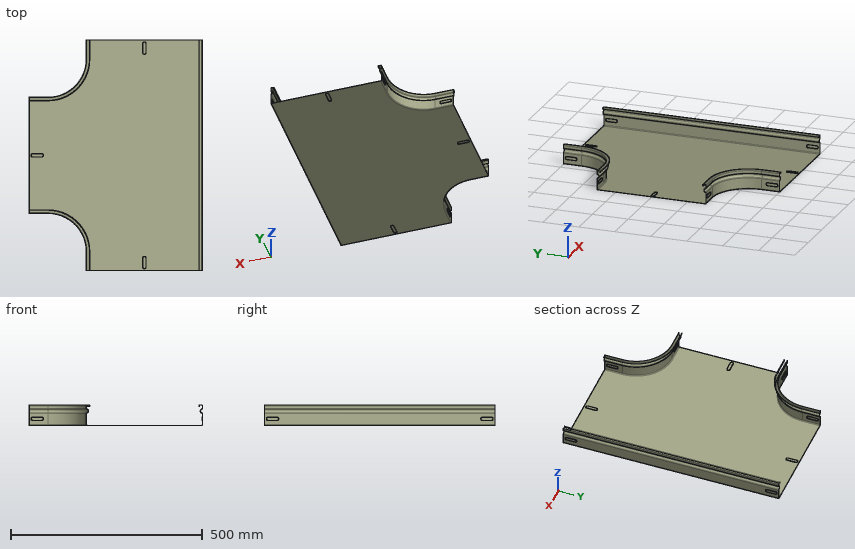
import cadquery as cq
import math

sheet = 0.6
length_y = 601.0
arm_width = 302.8
straight_end = 50.0
wall_height = 53.5

bend_radius = 2.0
bead_height = 37.5
bead_radius = 5.3
bead_blend = 1.5
rim_width = 9.4
rim_radius = 2.2
roll_radius = 2.2
lip_length = 1.0

slot_length = 32.5
slot_width = 9.0
slot_end_gap = 5.0
slot_height = 17.5
press_depth = 0.6

arm_reach = (length_y - arm_width) / 2
length_x = arm_reach + arm_width
half_y = length_y / 2
half_arm = arm_width / 2
corner_radius = arm_reach - straight_end
arm_axis_x = arm_reach + half_arm
slot_centre = slot_end_gap + slot_length / 2


def wall_section():
    """Wall section: local x runs inward from the outer face, local y runs up."""
    skin = sheet / 2
    bend = bend_radius - skin
    corner = rim_radius - skin
    roll = roll_radius - skin
    top = wall_height - skin
    inner = rim_width - skin
    roll_x = rim_width - roll_radius
    diagonal = math.sqrt(0.5)

    blend_rise = math.sqrt((bead_radius + bead_blend) ** 2 - bead_blend ** 2)
    bead_share = bead_radius / (bead_radius + bead_blend)
    touch_x = skin + bead_blend * bead_share
    touch_rise = blend_rise * bead_share

    path = (
        cq.Workplane("XY")
        .moveTo(bend_radius, skin)
        .radiusArc((skin, bend_radius), bend)
        .lineTo(skin, bead_height - blend_rise)
        .radiusArc((touch_x, bead_height - touch_rise), bead_blend)
        .threePointArc((skin + bead_radius, bead_height), (touch_x, bead_height + touch_rise))
        .radiusArc((skin, bead_height + blend_rise), bead_blend)
        .lineTo(skin, wall_height - rim_radius)
        .radiusArc((rim_radius, top), corner)
        .lineTo(roll_x, top)
        .threePointArc(
            (inner, top - roll),
            (roll_x + roll * diagonal, top - roll - roll * diagonal),
        )
        .line(-lip_length * diagonal, -lip_length * diagonal)
    )
    return path.wire().offset2D(skin).val()


def placed_section(origin, inward):
    """The wall section as a workplane, at origin with its local x along inward."""
    normal = cq.Vector(*inward).cross(cq.Vector(0, 0, 1))
    plane = cq.Plane(origin=origin, xDir=inward, normal=normal)
    return cq.Workplane(plane).add(wall_section().moved(plane.location)).toPending()


def floor():
    """Flat floor, stopping where the wall bends begin."""
    notch_x = arm_reach + bend_radius
    notch_y = half_arm - bend_radius
    centre_x = straight_end
    centre_y = half_y - straight_end
    edge_radius = corner_radius + bend_radius
    diagonal = edge_radius * math.sqrt(0.5)
    plate = cq.Workplane("XY").box(
        length_x - bend_radius, length_y, sheet, centered=(False, True, False)
    )
    notch = (
        cq.Workplane("XY")
        .moveTo(0, half_y)
        .lineTo(0, notch_y)
        .lineTo(centre_x, notch_y)
        .threePointArc((centre_x + diagonal, centre_y - diagonal), (notch_x, centre_y))
        .lineTo(notch_x, half_y)
        .close()
        .extrude(sheet)
    )
    return plate.cut(notch).cut(notch.mirror("XZ"))


def back_wall():
    """Straight wall along the closed side of the tee."""
    return placed_section((length_x, half_y, 0), (-1, 0, 0)).extrude(-length_y)


def corner_wall():
    """Wall around the +Y inside corner, as its straight, quarter turn and straight."""
    centre_y = half_y - straight_end
    x_straight = placed_section((0, half_arm, 0), (0, -1, 0)).extrude(-straight_end)
    y_straight = placed_section((arm_reach, centre_y, 0), (1, 0, 0)).extrude(-straight_end)
    axis_start = (-corner_radius, 0, 0)
    axis_end = (-corner_radius, -1, 0)
    turn = placed_section((arm_reach, centre_y, 0), (1, 0, 0)).revolve(90, axis_start, axis_end)
    return x_straight, turn, y_straight


def slot_solid(origin, along, outward, inset, depth):
    """Round-ended slot block grown outward from origin, its sides moved in by inset."""
    plane = cq.Plane(origin=origin, xDir=along, normal=outward)
    return cq.Workplane(plane).slot2D(slot_length - 2 * inset, slot_width - 2 * inset).extrude(depth)


def press_slot(body, origin, along, outward):
    """Press a blind slot out of the sheet; origin lies on the skin it stands out from."""
    raised = slot_solid(origin, along, outward, 0, press_depth)
    far_skin = cq.Vector(*origin) - cq.Vector(*outward) * sheet
    hollow = slot_solid(far_skin.toTuple(), along, outward, sheet, press_depth)
    return body.union(raised).cut(hollow)


tray = floor().union(back_wall())
for wall in corner_wall():
    tray = tray.union(wall).union(wall.mirror("XZ"))

tray = press_slot(tray, (slot_centre, 0, 0), (1, 0, 0), (0, 0, -1))
for side in (1, -1):
    end_slot_y = side * (half_y - slot_centre)
    tray = press_slot(tray, (arm_axis_x, end_slot_y, 0), (0, 1, 0), (0, 0, -1))

    near_face_y = side * (half_arm - sheet)
    tray = press_slot(tray, (slot_centre, near_face_y, slot_height), (1, 0, 0), (0, -side, 0))
    tray = press_slot(tray, (arm_reach + sheet, end_slot_y, slot_height), (0, 1, 0), (1, 0, 0))
    tray = press_slot(tray, (length_x - sheet, end_slot_y, slot_height), (0, 1, 0), (-1, 0, 0))

result = tray